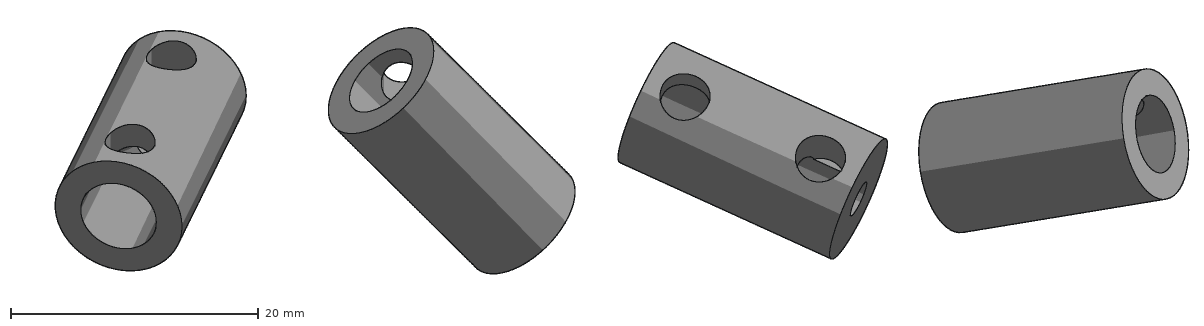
import cadquery as cq
import math

body_diameter = 10.67
body_length = 19.05

large_bore_diameter = 6.35
small_bore_diameter = 3.0
large_bore_depth = body_length / 2
drill_point_angle = 118.0

screw_hole_diameter = 4.04
screw_hole_end_distance = 3.43

front_y = -body_length / 2
back_y = body_length / 2


def make_body():
    return (
        cq.Workplane("XZ", origin=(0, back_y, 0))
        .circle(body_diameter / 2)
        .extrude(body_length)
    )


def make_bore():
    """Revolved bore: large cylinder, conical drill point, small through hole."""
    large_radius = large_bore_diameter / 2
    small_radius = small_bore_diameter / 2
    cone_length = (large_radius - small_radius) / math.tan(math.radians(drill_point_angle / 2))
    cone_start_y = front_y + large_bore_depth
    return (
        cq.Workplane("XY")
        .moveTo(0, front_y)
        .lineTo(large_radius, front_y)
        .lineTo(large_radius, cone_start_y)
        .lineTo(small_radius, cone_start_y + cone_length)
        .lineTo(small_radius, back_y)
        .lineTo(0, back_y)
        .close()
        .revolve(360, (0, 0, 0), (0, 1, 0))
    )


def make_screw_hole(y):
    """Radial hole from the bore axis out through the +Z side."""
    return (
        cq.Workplane("XY", origin=(0, y, 0))
        .circle(screw_hole_diameter / 2)
        .extrude(body_diameter / 2)
    )


result = make_body().cut(make_bore())
for hole_y in (front_y + screw_hole_end_distance, back_y - screw_hole_end_distance):
    result = result.cut(make_screw_hole(hole_y))